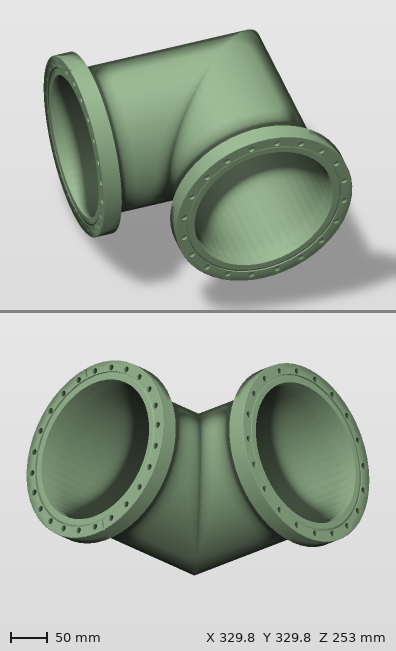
import cadquery as cq
import math

overall_length = 329.8

flange_radius = 126.5
flange_thickness = 25.0
rim_chamfer = 0.5
face_distance = overall_length - flange_radius
back_distance = face_distance - flange_thickness

tube_outer_radius = 101.5
tube_inner_radius = 99.5
socket_setback = 12.0
tube_length = face_distance - socket_setback
socket_floor = flange_thickness - socket_setback

bolt_circle_radius = 116.0
bolt_hole_diameter = 8.5
fixed_hole_count = 24
receiver_hole_count = 20

recess_radius = 110.8
knife_radius = 108.0
knife_slope = 20.0
knife_depth = 1.0
knife_height = flange_thickness - knife_depth
recess_depth = knife_depth + (recess_radius - knife_radius) * math.tan(math.radians(knife_slope))

leak_groove_width = 3.0
leak_groove_depth = 1.5
leak_groove_angle = 90.0 + 180.0 / fixed_hole_count

receiver_bore_radius = 106.5
lip_depth = 12.0
shoulder_height = flange_thickness - lip_depth
insert_setback = 8.5


def bolt_holes(count, start_angle):
    """Through holes around the flange axis."""
    return (
        cq.Workplane("XY")
        .polarArray(bolt_circle_radius, start_angle, 360, count)
        .circle(bolt_hole_diameter / 2)
        .extrude(flange_thickness)
    )


def revolved(profile):
    """Turn a (radius, height) profile around the Z axis."""
    return cq.Workplane("XZ").polyline(profile).close().revolve(360, (0, 0, 0), (0, 1, 0))


def on_minus_y_leg(flange):
    return flange.rotate((0, 0, 0), (1, 0, 0), 90).translate((0, -back_distance, 0))


def on_plus_x_leg(flange):
    return flange.rotate((0, 0, 0), (0, 1, 0), 90).translate((back_distance, 0, 0))


def mitred_rod(radius, length):
    """Two round rods at a right angle, each cut on the 45-degree mitre plane."""
    overrun = 2 * radius
    reach = length + overrun
    minus_y_rod = cq.Workplane("XZ", origin=(0, overrun, 0)).circle(radius).extrude(reach)
    plus_x_rod = cq.Workplane("YZ", origin=(-overrun, 0, 0)).circle(radius).extrude(reach)
    minus_y_side = (
        cq.Workplane("XY")
        .polyline([(-reach, reach), (-reach, -reach), (reach, -reach)])
        .close()
        .extrude(overrun, both=True)
    )
    plus_x_side = minus_y_side.rotate((0, 0, 0), (1, -1, 0), 180)
    return minus_y_rod.intersect(minus_y_side).union(plus_x_rod.intersect(plus_x_side))


def make_elbow():
    return mitred_rod(tube_outer_radius, tube_length).cut(mitred_rod(tube_inner_radius, tube_length))


def leak_grooves():
    """A groove on either side of the face, from the rim to the gasket recess."""
    bar = (
        cq.Workplane("XY", origin=(0, 0, flange_thickness - leak_groove_depth))
        .rect(2 * flange_radius, leak_groove_width)
        .extrude(leak_groove_depth)
        .rotate((0, 0, 0), (0, 0, 1), leak_groove_angle)
    )
    recess = cq.Workplane("XY").circle(recess_radius).extrude(flange_thickness)
    return bar.cut(recess)


def flange_blank():
    """Plain disc, chamfered around the sealing face."""
    disc = cq.Workplane("XY").circle(flange_radius).extrude(flange_thickness)
    return disc.faces(">Z").edges().chamfer(rim_chamfer)


def make_fixed_flange():
    opening = revolved([
        (0, 0),
        (tube_outer_radius, 0),
        (tube_outer_radius, socket_floor),
        (tube_inner_radius, socket_floor),
        (tube_inner_radius, knife_height),
        (knife_radius, knife_height),
        (recess_radius, flange_thickness - recess_depth),
        (recess_radius, flange_thickness),
        (0, flange_thickness),
    ])
    holes = bolt_holes(fixed_hole_count, 0)
    return on_minus_y_leg(flange_blank().cut(opening).cut(holes).cut(leak_grooves()))


def make_receiver():
    opening = revolved([
        (0, 0),
        (receiver_bore_radius, 0),
        (receiver_bore_radius, shoulder_height),
        (recess_radius, shoulder_height),
        (recess_radius, flange_thickness),
        (0, flange_thickness),
    ])
    holes = bolt_holes(receiver_hole_count, 180.0 / receiver_hole_count)
    return on_plus_x_leg(flange_blank().cut(opening).cut(holes))


def make_insert():
    insert = revolved([
        (tube_outer_radius, insert_setback),
        (receiver_bore_radius, insert_setback),
        (receiver_bore_radius, shoulder_height),
        (recess_radius, shoulder_height),
        (recess_radius, flange_thickness - recess_depth),
        (knife_radius, knife_height),
        (tube_inner_radius, knife_height),
        (tube_inner_radius, socket_floor),
        (tube_outer_radius, socket_floor),
    ])
    return on_plus_x_leg(insert)


elbow = make_elbow()
fixed_flange = make_fixed_flange()
receiver = make_receiver()
insert = make_insert()

bodies = [elbow, fixed_flange, receiver, insert]
result = cq.Compound.makeCompound([body.solids().val() for body in bodies])